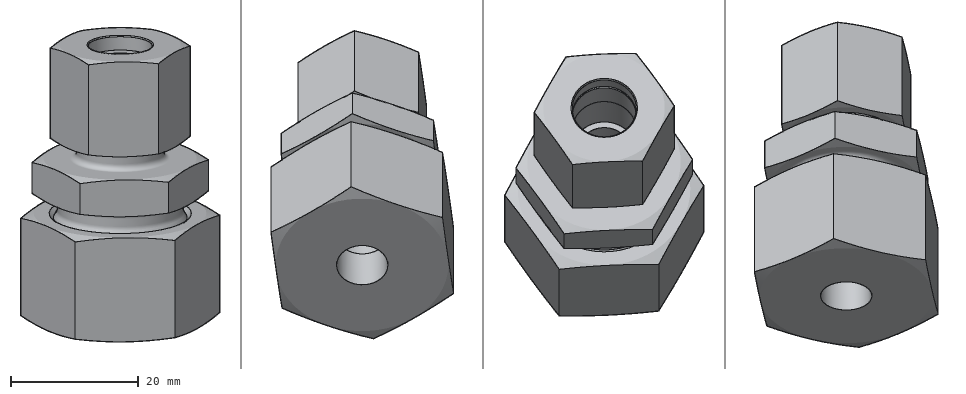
import cadquery as cq
import math

TOTAL_LENGTH = 44.5
TOP_NUT_LENGTH = 15.5
BOTTOM_NUT_LENGTH = 17.0
UPPER_NECK_LENGTH = 3.03
HEX_LENGTH = 6.0

TOP_NUT_FLATS = 19.0
HEX_FLATS = 24.0
BOTTOM_NUT_FLATS = 27.0
HEX_HALF_ANGLE = 30.0
BOTTOM_NUT_TURN = 0.06

BORE_DIAMETER = 8.0
TUBE_DIAMETER = 10.0
UPPER_NECK_DIAMETER = 13.7
UPPER_COLLAR_DIAMETER = 14.0
LOWER_NECK_DIAMETER = 19.7
LOWER_COLLAR_DIAMETER = 20.0

HEX_CHAMFER_ANGLE = 15.0
ENTRY_CHAMFER = 0.2
NECK_FILLET = 1.0
RUNOUT_LENGTH = 0.55
COLLAR_GAP = 0.15
CONE_ANGLE = 30.0
MOUTH_CHAMFER = 0.65
NUT_WALL = 2.35
RING_GAP = 0.5
BODY_END_INSET = 7.5
TUBE_STOP_DEPTH = 14.45

TOP_NUT_BASE = TOTAL_LENGTH - TOP_NUT_LENGTH
HEX_TOP = TOP_NUT_BASE - UPPER_NECK_LENGTH
HEX_BASE = HEX_TOP - HEX_LENGTH
RECESS_TOP = TOTAL_LENGTH - NUT_WALL
RING_TOP = RECESS_TOP - RING_GAP
BODY_TOP = TOTAL_LENGTH - BODY_END_INSET
BODY_BASE = BODY_END_INSET
TUBE_STOP = TOTAL_LENGTH - TUBE_STOP_DEPTH


def cylinder(diameter, base, top):
    """Upright cylinder on the Z axis between two heights."""
    return cq.Workplane("XY").workplane(offset=base).circle(diameter / 2).extrude(top - base)


def chamfered_hexagon(flats, base, top):
    """Hexagonal prism with corners on the Y axis, turned to a cone at both ends."""
    corner_diameter = flats / math.cos(math.radians(HEX_HALF_ANGLE))
    prism = (
        cq.Workplane("XY")
        .workplane(offset=base)
        .polygon(6, corner_diameter)
        .extrude(top - base)
        .rotate((0, 0, 0), (0, 0, 1), HEX_HALF_ANGLE)
    )
    corner_radius = corner_diameter / 2
    flat_radius = flats / 2
    drop = (corner_radius - flat_radius) * math.tan(math.radians(HEX_CHAMFER_ANGLE))
    envelope = (
        cq.Workplane("XZ")
        .moveTo(0, base)
        .lineTo(flat_radius, base)
        .lineTo(corner_radius, base + drop)
        .lineTo(corner_radius, top - drop)
        .lineTo(flat_radius, top)
        .lineTo(0, top)
        .close()
        .revolve(360, (0, 0), (0, 1))
    )
    return prism.intersect(envelope)


def joint_diameter(collar_diameter):
    """Diameter at which the cone of a body end meets the cone of a nut's mouth."""
    cone_length = COLLAR_GAP + MOUTH_CHAMFER
    return collar_diameter + 2 * cone_length * math.tan(math.radians(CONE_ANGLE))


def neck_and_end(neck_diameter, collar_diameter, hex_face, nut_face, end):
    """Solid of revolution from a hexagon face through the neck to a body end inside a nut."""
    outward = math.copysign(1, end - hex_face)
    neck_radius = neck_diameter / 2
    collar_radius = collar_diameter / 2
    joint_radius = joint_diameter(collar_diameter) / 2
    collar = nut_face - outward * COLLAR_GAP
    runout_start = collar - outward * RUNOUT_LENGTH

    bend = NECK_FILLET * (1 - math.sqrt(0.5))
    rise = collar_radius - neck_radius
    runout_radius = (RUNOUT_LENGTH**2 + rise**2) / (2 * rise)
    half_length = RUNOUT_LENGTH / 2
    half_rise = runout_radius - math.sqrt(runout_radius**2 - half_length**2)

    return (
        cq.Workplane("XZ")
        .moveTo(0, hex_face)
        .lineTo(neck_radius + NECK_FILLET, hex_face)
        .threePointArc(
            (neck_radius + bend, hex_face + outward * bend),
            (neck_radius, hex_face + outward * NECK_FILLET),
        )
        .lineTo(neck_radius, runout_start)
        .threePointArc(
            (neck_radius + half_rise, runout_start + outward * half_length),
            (collar_radius, collar),
        )
        .lineTo(joint_radius, nut_face + outward * MOUTH_CHAMFER)
        .lineTo(joint_radius, end)
        .lineTo(0, end)
        .close()
        .revolve(360, (0, 0), (0, 1))
    )


def nut_recess(diameter, floor, mouth):
    """Recess in a nut between two heights, widened by a 45 degree cone at its mouth."""
    outward = math.copysign(1, mouth - floor)
    radius = diameter / 2
    return (
        cq.Workplane("XZ")
        .moveTo(0, floor)
        .lineTo(radius, floor)
        .lineTo(radius, mouth - outward * MOUTH_CHAMFER)
        .lineTo(radius + MOUTH_CHAMFER, mouth)
        .lineTo(0, mouth)
        .close()
        .revolve(360, (0, 0), (0, 1))
    )


def make_body():
    """Reducing body: hexagon, two necks with wider ends, bore and tube socket."""
    upper_end = neck_and_end(UPPER_NECK_DIAMETER, UPPER_COLLAR_DIAMETER, HEX_TOP, TOP_NUT_BASE, BODY_TOP)
    lower_end = neck_and_end(
        LOWER_NECK_DIAMETER, LOWER_COLLAR_DIAMETER, HEX_BASE, BOTTOM_NUT_LENGTH, BODY_BASE
    )
    return (
        chamfered_hexagon(HEX_FLATS, HEX_BASE, HEX_TOP)
        .union(upper_end)
        .union(lower_end)
        .cut(cylinder(BORE_DIAMETER, BODY_BASE, BODY_TOP))
        .cut(cylinder(TUBE_DIAMETER, TUBE_STOP, BODY_TOP))
    )


def make_top_nut():
    """Nut with a chamfered tube hole above the recess for the ring and the body."""
    recess = nut_recess(joint_diameter(UPPER_COLLAR_DIAMETER), RECESS_TOP, TOP_NUT_BASE)
    tube_hole = cylinder(TUBE_DIAMETER, RECESS_TOP, TOTAL_LENGTH)
    return (
        chamfered_hexagon(TOP_NUT_FLATS, TOP_NUT_BASE, TOTAL_LENGTH)
        .cut(recess)
        .cut(tube_hole)
        .faces(">Z")
        .edges(cq.selectors.RadiusNthSelector(0))
        .chamfer(ENTRY_CHAMFER)
    )


def make_bottom_nut():
    """Nut with a recess for the body and the bore through its end wall."""
    recess = nut_recess(joint_diameter(LOWER_COLLAR_DIAMETER), BODY_BASE, BOTTOM_NUT_LENGTH)
    return (
        chamfered_hexagon(BOTTOM_NUT_FLATS, 0, BOTTOM_NUT_LENGTH)
        .rotate((0, 0, 0), (0, 0, 1), BOTTOM_NUT_TURN)
        .cut(recess)
        .cut(cylinder(BORE_DIAMETER, 0, BODY_BASE))
    )


def make_cutting_ring():
    """Sleeve in the top nut's recess, resting on the body below a narrow gap."""
    sleeve = cylinder(joint_diameter(UPPER_COLLAR_DIAMETER), BODY_TOP, RING_TOP)
    return sleeve.cut(cylinder(TUBE_DIAMETER, BODY_TOP, RING_TOP))


body = make_body()
top_nut = make_top_nut()
bottom_nut = make_bottom_nut()
cutting_ring = make_cutting_ring()

result = cq.Compound.makeCompound([body.val(), top_nut.val(), bottom_nut.val(), cutting_ring.val()])